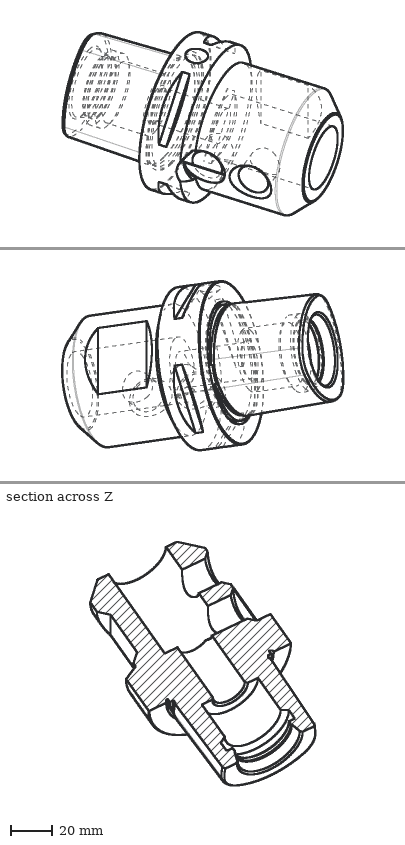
import cadquery as cq
import math

length = 128.0

shank_end = 45.8
flange_start = 48.0
lobe_reach = 29.3
flank_reach = 25.7
lobe_radius = 15.2
taper_angle = math.degrees(math.atan(1 / 40))
shank_chamfer_length = 1.4
shank_chamfer_depth = 0.8
neck_step = 0.4
lobe_relief_start = 46.7
boss_start = 47.5
boss_radius = 28.5

flange_radius = 80.0 / 2
flange_end = 70.0
flange_edge = 0.4
relief_radius = 30.1
grip_x = 59.9
slot_floor = 35.5
slot_floor_width = 4.0
slot_half_angle = 30.0
dimple_diameter = 11.1

holder_radius = 64.5 / 2
holder_start = 74.2
nose_chamfer = 10.0
nose_blend = 1.0
nose_edge = 0.4
tool_bore_diameter = 32.0
tool_bore_floor = 73.9

relief_width = relief_radius - boss_radius

passage_diameter = 17.8
passage_mouth_radius = 10.0
mouth_radius = 18.4
mouth_chamfer = 1.0
lead_in_end = 6.3
lip_radius = 15.6
lip_chamfer = 0.4
lip_end = 9.0
groove_radius = 38.0 / 2
groove_end = 14.3
shank_bore_radius = 15.6
shank_bore_start = 16.5
shank_bore_end = 38.4

screw_diameter = 15.9
screw_rim_diameter = 22.4
inner_screw_x = 79.5
cover_thickness = 0.4
outer_screw_x = 104.3

flat_y = 27.4
flat_start = 81.2
flat_end = 106.6
flat_overcut = 0.6


def turned(points):
    """Solid of revolution about X from (x, radius) points."""
    profile = [(x, -radius) for x, radius in points]
    return cq.Workplane("XY").polyline(profile).close().revolve(360, (0, 0, 0), (1, 0, 0))


def polar(angle, radius, center=(0, 0)):
    """Point in the YZ plane, with the angle measured from +Z towards +Y."""
    a = math.radians(angle)
    return (center[0] + radius * math.sin(a), center[1] + radius * math.cos(a))


def lobed_outline(x, inset):
    """Three lobe arcs joined tangentially by three larger flank arcs, one lobe pointing to +Z."""
    lobe_center = lobe_reach - lobe_radius
    gap = flank_reach - lobe_radius
    flank_center = (lobe_center**2 - gap**2) / (2 * gap - lobe_center)
    across = flank_center * math.sin(math.radians(60))
    along = lobe_center + flank_center * math.cos(math.radians(60))
    joint_angle = math.degrees(math.atan2(across, along))

    def joint(lobe, side):
        center = polar(lobe, lobe_center)
        return polar(lobe + side * joint_angle, lobe_radius - inset, center)

    outline = cq.Workplane("YZ", origin=(x, 0, 0)).moveTo(*joint(0, -1))
    for lobe in (0, 120, 240):
        outline = outline.threePointArc(polar(lobe, lobe_reach - inset), joint(lobe, 1))
        outline = outline.threePointArc(polar(lobe + 60, flank_reach - inset), joint(lobe + 120, -1))
    return outline.close()


def shank():
    taper = lobed_outline(shank_end, 0).extrude(-shank_end, taper=taper_angle)
    taper = taper.faces("<X").chamfer(shank_chamfer_length, shank_chamfer_depth)
    neck = lobed_outline(shank_end, neck_step).extrude(lobe_relief_start - shank_end)
    boss_length = flange_start + relief_width - boss_start
    boss = cq.Workplane("YZ", origin=(boss_start, 0, 0)).circle(boss_radius).extrude(boss_length)
    turned_neck = lobed_outline(lobe_relief_start, neck_step).extrude(boss_start - lobe_relief_start)
    turned_neck = turned_neck.intersect(boss.translate((lobe_relief_start - boss_start, 0, 0)))
    return taper.union(neck).union(turned_neck).union(boss)


def flange_and_holder():
    nose_start = length - nose_chamfer
    nose_radius = holder_radius - nose_chamfer
    body = turned([
        (flange_start, 0),
        (flange_start, flange_radius - flange_edge),
        (flange_start + flange_edge, flange_radius),
        (flange_end, flange_radius),
        (holder_start, holder_radius),
        (nose_start, holder_radius),
        (length - nose_edge, nose_radius + nose_edge),
        (length, nose_radius - nose_edge),
        (length, 0),
    ])
    nose_corner = cq.selectors.BoxSelector(
        (nose_start - nose_edge, -holder_radius, -holder_radius),
        (nose_start + nose_edge, holder_radius, holder_radius),
    )
    return body.edges(nose_corner).fillet(nose_blend)


def face_relief():
    """Ring-shaped relief with a quarter-round floor in the flange face, around the boss."""
    profile = cq.Workplane("XZ").moveTo(flange_start, boss_radius).lineTo(flange_start, relief_radius)
    profile = profile.radiusArc((flange_start + relief_width, boss_radius), relief_width).close()
    return profile.revolve(360, (0, 0, 0), (1, 0, 0))


def axial_bores():
    lead_in_radius = mouth_radius - mouth_chamfer
    passage_radius = passage_diameter / 2
    passage_mouth_end = shank_bore_end + passage_mouth_radius - passage_radius
    tool_bore_radius = tool_bore_diameter / 2
    return turned([
        (0, 0),
        (0, mouth_radius),
        (mouth_chamfer, lead_in_radius),
        (lead_in_end, lip_radius + lip_chamfer),
        (lead_in_end + lip_chamfer, lip_radius),
        (lip_end - lip_chamfer, lip_radius),
        (lip_end, lip_radius + lip_chamfer),
        (lip_end, groove_radius),
        (groove_end, groove_radius),
        (shank_bore_start, shank_bore_radius),
        (shank_bore_end, shank_bore_radius),
        (shank_bore_end, passage_mouth_radius),
        (passage_mouth_end, passage_radius),
        (tool_bore_floor, passage_radius),
        (tool_bore_floor, tool_bore_radius),
        (length, tool_bore_radius),
        (length, 0),
    ])


def grip_slot(angle):
    """Straight slot with sloping sides across the flange rim, turned about X from +Z."""
    rise = flange_radius - slot_floor
    half_floor = slot_floor_width / 2
    half_top = half_floor + rise * math.tan(math.radians(slot_half_angle))
    section = [
        (grip_x - half_floor, slot_floor),
        (grip_x + half_floor, slot_floor),
        (grip_x + half_top, flange_radius),
        (grip_x - half_top, flange_radius),
    ]
    slot = cq.Workplane("XZ").polyline(section).close().extrude(flange_radius, both=True)
    return slot.rotate((0, 0, 0), (1, 0, 0), angle)


def dimple():
    radius = dimple_diameter / 2
    tip = flange_radius - radius
    return cq.Workplane(cq.Solid.makeCone(0, radius, radius, cq.Vector(grip_x, 0, tip), cq.Vector(0, 0, 1)))


def screw_hole(x):
    """Countersunk hole from the -Y side to the axis; its rim cylinder also clears the flange cone."""
    hole_radius = screw_diameter / 2
    rim_radius = screw_rim_diameter / 2
    sink = rim_radius - hole_radius
    profile = [
        (0, 0),
        (hole_radius, 0),
        (hole_radius, sink - holder_radius),
        (rim_radius, -holder_radius),
        (rim_radius, -flange_radius),
        (0, -flange_radius),
    ]
    hole = cq.Workplane("XY").polyline(profile).close().revolve(360, (0, 0, 0), (0, 1, 0))
    return hole.translate((x, 0, 0))


def half_cover():
    """Thin skin, flush with the holder surface, over the lower half of the inner screw hole."""
    rim_radius = screw_rim_diameter / 2
    half_disc = cq.Workplane("XZ", origin=(inner_screw_x, 0, 0)).moveTo(-rim_radius, 0)
    half_disc = half_disc.threePointArc((0, -rim_radius), (rim_radius, 0)).close().extrude(flange_radius)
    skin = turned([
        (flange_start, holder_radius - cover_thickness),
        (flange_start, holder_radius),
        (length - nose_chamfer, holder_radius),
        (length - nose_chamfer, holder_radius - cover_thickness),
    ])
    return half_disc.intersect(skin)


def side_flat():
    top_y = holder_radius + flat_overcut
    rise = top_y - flat_y
    section = [
        (flat_start, flat_y),
        (flat_end, flat_y),
        (flat_end + rise, top_y),
        (flat_start - rise, top_y),
    ]
    return cq.Workplane("XY").polyline(section).close().extrude(holder_radius, both=True)


result = flange_and_holder().cut(face_relief()).union(shank()).cut(axial_bores())
for slot_angle in (45, 135, 225, 315):
    result = result.cut(grip_slot(slot_angle))
result = result.cut(dimple())
for screw_x in (inner_screw_x, outer_screw_x):
    result = result.cut(screw_hole(screw_x))
result = result.union(half_cover()).cut(side_flat())